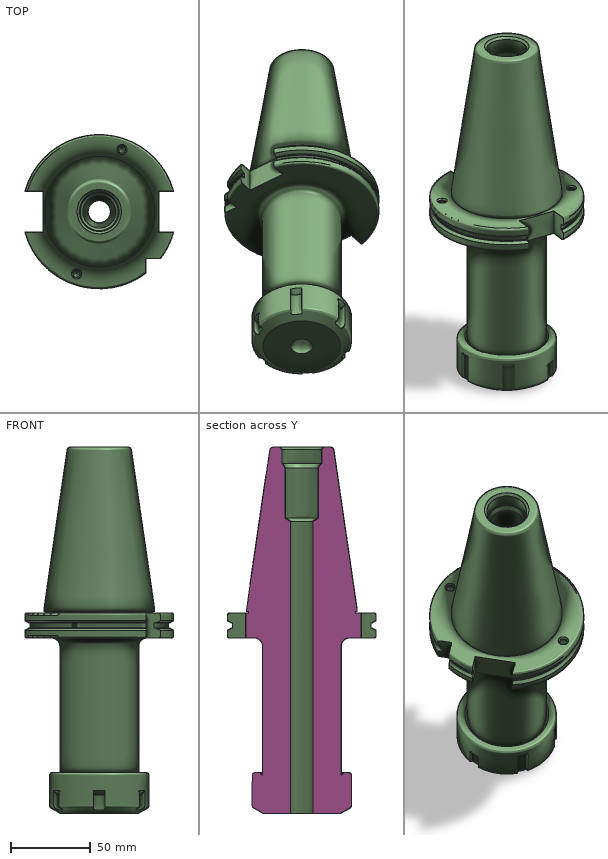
import cadquery as cq
import math

GAUGE_DIAMETER = 69.85
TAPER_RATIO = 7 / 24
TAPER_LENGTH = 101.75
TAPER_TOP_FILLET = 2.5
TAPER_END_Z = -0.9
RELIEF_TOP_Z = -2.3
NECK_DIAMETER = 68.0

FLANGE_DIAMETER = 97.5
FLANGE_TOP_Z = -3.2
FLANGE_BOTTOM_Z = -19.1
FLANGE_FILLET = 1.5
GROOVE_Z = -11.1
GROOVE_FLOOR_DIAMETER = 91.25
GROOVE_MOUTH_WIDTH = 6.1
GROOVE_FLANK_DEPTH = 2.2
GROOVE_FLOOR_WIDTH = 3.1
GROOVE_FLANK_ANGLE = 30

DRIVE_SLOT_WIDTH = 25.7
LEFT_SLOT_FLOOR_X = -35.5
RIGHT_SLOT_FLOOR_X = 37.7
NOTCH_CORNER_X = 29.5
NOTCH_CORNER_Y = -29.6

PORT_ANGLES = (70, 250)
PORT_CIRCLE_RADIUS = 41.8
PORT_MOUTH_DIAMETER = 6.4
PORT_DIAMETER = 4.6
PORT_DEPTH = 2.0
PORT_OUTLET_DIAMETER = 3.4

BODY_DIAMETER = 50.0
BODY_FILLET = 5.0
BOTTOM_Z = -130.0
NUT_DIAMETER = 63.0
NUT_TOP_Z = -104.0
NUT_TOP_FILLET = 2.0
NUT_MOUTH_CHAMFER = 1.5
NUT_CONE_TOP_Z = -126.0
NUT_FACE_DIAMETER = 49.0
NUT_BOTTOM_FILLET = 2.0

NUT_SLOT_COUNT = 6
FIRST_NUT_SLOT_ANGLE = 30
NUT_SLOT_WIDTH = 7.0
NUT_SLOT_FILLET = 1.0
NUT_SLOT_FLOOR_RADIUS = 28.5
SHORT_SLOT_TOP_Z = -115.3
TALL_SLOT_TOP_Z = -108.4
TALL_SLOT_ANGLES = (30, 90, 150)

BORE_CHAMFER_DIAMETER = 28.0
COUNTERBORE_DIAMETER = 25.0
COUNTERBORE_DEPTH = 10.5
THREAD_COUNTERSINK_DIAMETER = 24.0
THREAD_COUNTERSINK_HALF_ANGLE = 30
THREAD_BORE_DIAMETER = 20.75
THREAD_BORE_DEPTH = 45.0
DRILL_TIP_HALF_ANGLE = 59
THROUGH_BORE_DIAMETER = 14.0

EDGE_SEARCH_MARGIN = 0.1


def revolve_profile(profile):
    return profile.close().revolve(360, (0, 0, 0), (0, 1, 0))


def taper_radius(z):
    return GAUGE_DIAMETER / 2 - z * TAPER_RATIO / 2


def make_taper():
    profile = (
        cq.Workplane("XZ")
        .moveTo(0, TAPER_LENGTH)
        .lineTo(taper_radius(TAPER_LENGTH), TAPER_LENGTH)
        .lineTo(taper_radius(TAPER_END_Z), TAPER_END_Z)
        .lineTo(taper_radius(TAPER_END_Z), RELIEF_TOP_Z)
        .lineTo(NECK_DIAMETER / 2, RELIEF_TOP_Z)
        .lineTo(NECK_DIAMETER / 2, FLANGE_TOP_Z)
        .lineTo(0, FLANGE_TOP_Z)
    )
    return revolve_profile(profile).faces(">Z").edges().fillet(TAPER_TOP_FILLET)


def make_flange():
    rim = FLANGE_DIAMETER / 2
    floor = GROOVE_FLOOR_DIAMETER / 2
    flank_end = rim - GROOVE_FLANK_DEPTH
    mouth_half = GROOVE_MOUTH_WIDTH / 2
    floor_half = GROOVE_FLOOR_WIDTH / 2
    flank_half = mouth_half - GROOVE_FLANK_DEPTH * math.tan(math.radians(GROOVE_FLANK_ANGLE))
    profile = (
        cq.Workplane("XZ")
        .moveTo(0, FLANGE_TOP_Z)
        .lineTo(rim - FLANGE_FILLET, FLANGE_TOP_Z)
        .radiusArc((rim, FLANGE_TOP_Z - FLANGE_FILLET), FLANGE_FILLET)
        .lineTo(rim, GROOVE_Z + mouth_half)
        .lineTo(flank_end, GROOVE_Z + flank_half)
        .lineTo(flank_end, GROOVE_Z + floor_half)
        .lineTo(floor, GROOVE_Z + floor_half)
        .lineTo(floor, GROOVE_Z - floor_half)
        .lineTo(flank_end, GROOVE_Z - floor_half)
        .lineTo(flank_end, GROOVE_Z - flank_half)
        .lineTo(rim, GROOVE_Z - mouth_half)
        .lineTo(rim, FLANGE_BOTTOM_Z + FLANGE_FILLET)
        .radiusArc((rim - FLANGE_FILLET, FLANGE_BOTTOM_Z), FLANGE_FILLET)
        .lineTo(0, FLANGE_BOTTOM_Z)
    )
    return revolve_profile(profile)


def make_body():
    radius = BODY_DIAMETER / 2
    profile = (
        cq.Workplane("XZ")
        .moveTo(0, FLANGE_BOTTOM_Z)
        .lineTo(radius + BODY_FILLET, FLANGE_BOTTOM_Z)
        .radiusArc((radius, FLANGE_BOTTOM_Z - BODY_FILLET), -BODY_FILLET)
        .lineTo(radius, NUT_TOP_Z - NUT_MOUTH_CHAMFER)
        .lineTo(0, NUT_TOP_Z - NUT_MOUTH_CHAMFER)
    )
    return revolve_profile(profile)


def make_nut():
    profile = (
        cq.Workplane("XZ")
        .moveTo(0, NUT_TOP_Z - NUT_MOUTH_CHAMFER)
        .lineTo(BODY_DIAMETER / 2, NUT_TOP_Z - NUT_MOUTH_CHAMFER)
        .lineTo(BODY_DIAMETER / 2 + NUT_MOUTH_CHAMFER, NUT_TOP_Z)
        .lineTo(NUT_DIAMETER / 2, NUT_TOP_Z)
        .lineTo(NUT_DIAMETER / 2, NUT_CONE_TOP_Z)
        .lineTo(NUT_FACE_DIAMETER / 2, BOTTOM_Z)
        .lineTo(0, BOTTOM_Z)
    )
    nut = revolve_profile(profile)
    nut = nut.faces(">Z").edges(cq.selectors.RadiusNthSelector(-1)).fillet(NUT_TOP_FILLET)
    cone_edge = cq.selectors.BoxSelector(
        (-NUT_DIAMETER, -NUT_DIAMETER, NUT_CONE_TOP_Z - EDGE_SEARCH_MARGIN),
        (NUT_DIAMETER, NUT_DIAMETER, NUT_CONE_TOP_Z + EDGE_SEARCH_MARGIN),
    )
    nut = nut.edges(cone_edge).fillet(NUT_BOTTOM_FILLET)
    for index in range(NUT_SLOT_COUNT):
        angle = FIRST_NUT_SLOT_ANGLE + index * 360 / NUT_SLOT_COUNT
        nut = nut.cut(make_nut_slot(angle))
    return nut


def make_nut_slot(angle):
    top_z = TALL_SLOT_TOP_Z if angle in TALL_SLOT_ANGLES else SHORT_SLOT_TOP_Z
    rim = NUT_DIAMETER / 2
    depth = rim - NUT_SLOT_FLOOR_RADIUS
    slot = (
        cq.Workplane("XZ")
        .moveTo(NUT_SLOT_FLOOR_RADIUS, BOTTOM_Z)
        .lineTo(rim + depth, BOTTOM_Z)
        .lineTo(rim + depth, top_z + depth)
        .lineTo(NUT_SLOT_FLOOR_RADIUS, top_z - depth)
        .close()
        .extrude(NUT_SLOT_WIDTH / 2, both=True)
    )
    floor_edges = slot.faces("<X").edges("|Z")
    slope_edges = slot.faces(">Z[-1]").edges("not |Y")
    slot = slot.newObject(floor_edges.vals() + slope_edges.vals()).fillet(NUT_SLOT_FILLET)
    return slot.rotate((0, 0, 0), (0, 0, 1), angle)


def flange_block(x_min, x_max, y_min, y_max):
    height = FLANGE_TOP_Z - FLANGE_BOTTOM_Z
    return cq.Workplane("XY", origin=(x_min, y_min, FLANGE_BOTTOM_Z)).box(
        x_max - x_min, y_max - y_min, height, centered=False
    )


def cut_flange_slots(flange):
    half_width = DRIVE_SLOT_WIDTH / 2
    reach = FLANGE_DIAMETER
    flange = flange.cut(flange_block(-reach, LEFT_SLOT_FLOOR_X, -half_width, half_width))
    flange = flange.cut(flange_block(RIGHT_SLOT_FLOOR_X, reach, -half_width, half_width))
    return flange.cut(flange_block(NOTCH_CORNER_X, reach, -reach, NOTCH_CORNER_Y))


def make_port():
    chamfer = (PORT_MOUTH_DIAMETER - PORT_DIAMETER) / 2
    tip = PORT_DIAMETER / 2 / math.tan(math.radians(DRILL_TIP_HALF_ANGLE))
    profile = (
        cq.Workplane("XZ")
        .lineTo(PORT_MOUTH_DIAMETER / 2, 0)
        .lineTo(PORT_DIAMETER / 2, -chamfer)
        .lineTo(PORT_DIAMETER / 2, -PORT_DEPTH)
        .lineTo(0, -PORT_DEPTH - tip)
    )
    return revolve_profile(profile).translate((PORT_CIRCLE_RADIUS, 0, FLANGE_TOP_Z))


def cut_coolant_ports(flange):
    for angle in PORT_ANGLES:
        port = make_port()
        outlet = (
            cq.Workplane("YZ", origin=(PORT_CIRCLE_RADIUS, 0, GROOVE_Z))
            .circle(PORT_OUTLET_DIAMETER / 2)
            .extrude(FLANGE_DIAMETER / 2)
        )
        cutter = port.union(outlet).rotate((0, 0, 0), (0, 0, 1), angle)
        flange = flange.cut(cutter)
    return flange


def make_bore():
    chamfer = (BORE_CHAMFER_DIAMETER - COUNTERBORE_DIAMETER) / 2
    countersink_step = (THREAD_COUNTERSINK_DIAMETER - THREAD_BORE_DIAMETER) / 2
    countersink = countersink_step / math.tan(math.radians(THREAD_COUNTERSINK_HALF_ANGLE))
    tip_step = (THREAD_BORE_DIAMETER - THROUGH_BORE_DIAMETER) / 2
    tip = tip_step / math.tan(math.radians(DRILL_TIP_HALF_ANGLE))
    profile = (
        cq.Workplane("XZ")
        .moveTo(0, TAPER_LENGTH)
        .lineTo(BORE_CHAMFER_DIAMETER / 2, TAPER_LENGTH)
        .lineTo(COUNTERBORE_DIAMETER / 2, TAPER_LENGTH - chamfer)
        .lineTo(COUNTERBORE_DIAMETER / 2, TAPER_LENGTH - COUNTERBORE_DEPTH)
        .lineTo(THREAD_COUNTERSINK_DIAMETER / 2, TAPER_LENGTH - COUNTERBORE_DEPTH)
        .lineTo(THREAD_BORE_DIAMETER / 2, TAPER_LENGTH - COUNTERBORE_DEPTH - countersink)
        .lineTo(THREAD_BORE_DIAMETER / 2, TAPER_LENGTH - THREAD_BORE_DEPTH)
        .lineTo(THROUGH_BORE_DIAMETER / 2, TAPER_LENGTH - THREAD_BORE_DEPTH - tip)
        .lineTo(THROUGH_BORE_DIAMETER / 2, BOTTOM_Z)
        .lineTo(0, BOTTOM_Z)
    )
    return revolve_profile(profile)


flange = cut_coolant_ports(cut_flange_slots(make_flange()))
result = make_taper().union(flange).union(make_body()).union(make_nut()).cut(make_bore())